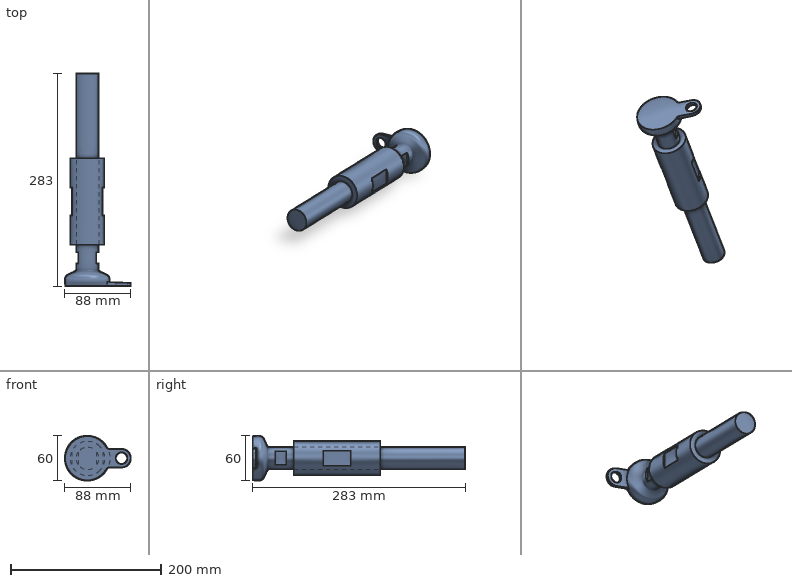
import cadquery as cq
import math

TOTAL_LENGTH = 283.0

STEM_RADIUS = 15.0
STEM_ACROSS_FLATS = 24.0
STEM_FLAT_START = 30.3
STEM_FLAT_LENGTH = 14.5

SLEEVE_RADIUS = 23.0
SLEEVE_START = 55.0
SLEEVE_LENGTH = 115.2
SLEEVE_ACROSS_FLATS = 41.0
SLEEVE_FLAT_LENGTH = 36.8
SLEEVE_FLAT_START = SLEEVE_START + (SLEEVE_LENGTH - SLEEVE_FLAT_LENGTH) / 2

FOOT_RADIUS = 30.0
FOOT_BOTTOM_RADIUS = 29.5
TAPER_HEIGHT = 6.0
SHOULDER_START = 8.5
SHOULDER_ARC_RADIUS = 7.5
NECK_FILLET_RADIUS = 2.0
CONE_ANGLE = math.radians(25)

LUG_HALF_WIDTH = 12.5
LUG_CENTER_X = 45.5
LUG_HOLE_DIAMETER = 15.0
LUG_ROOT_FILLET = 5.5
LUG_ROOT_THICKNESS = 5.5
LUG_TIP_THICKNESS = 4.2
LUG_TIP_X = LUG_CENTER_X + LUG_HALF_WIDTH


def cut_flats(body, across_flats, start, length, body_radius):
    """Cut a pair of wrench flats facing -X and +X."""
    body_diameter = 2 * body_radius
    for side in (-1, 1):
        center_x = side * (across_flats / 2 + body_radius)
        cutter = (
            cq.Workplane("XY")
            .box(body_diameter, length, body_diameter)
            .translate((center_x, start + length / 2, 0))
        )
        body = body.cut(cutter)
    return body


def arc_point(center, radius, angle):
    """Point on a circle at an angle from the first axis."""
    return (center[0] + radius * math.cos(angle), center[1] + radius * math.sin(angle))


def make_foot_and_stem():
    """Revolve the foot, its rounded shoulder and the stem as one profile."""
    shoulder_center = (FOOT_RADIUS - SHOULDER_ARC_RADIUS, SHOULDER_START)
    shoulder_sweep = math.pi / 2 - CONE_ANGLE
    shoulder_middle = arc_point(shoulder_center, SHOULDER_ARC_RADIUS, shoulder_sweep / 2)
    shoulder_end = arc_point(shoulder_center, SHOULDER_ARC_RADIUS, shoulder_sweep)

    fillet_start_radius = STEM_RADIUS + NECK_FILLET_RADIUS * (1 - math.sin(CONE_ANGLE))
    fillet_start_y = shoulder_end[1] + (shoulder_end[0] - fillet_start_radius) * math.tan(CONE_ANGLE)
    fillet_center = (
        STEM_RADIUS + NECK_FILLET_RADIUS,
        fillet_start_y + NECK_FILLET_RADIUS * math.cos(CONE_ANGLE),
    )
    fillet_middle = arc_point(fillet_center, NECK_FILLET_RADIUS, math.pi + shoulder_sweep / 2)

    body = (
        cq.Workplane("XY")
        .moveTo(0, 0)
        .lineTo(FOOT_BOTTOM_RADIUS, 0)
        .lineTo(FOOT_RADIUS, TAPER_HEIGHT)
        .lineTo(FOOT_RADIUS, SHOULDER_START)
        .threePointArc(shoulder_middle, shoulder_end)
        .lineTo(fillet_start_radius, fillet_start_y)
        .threePointArc(fillet_middle, (STEM_RADIUS, fillet_center[1]))
        .lineTo(STEM_RADIUS, TOTAL_LENGTH)
        .lineTo(0, TOTAL_LENGTH)
        .close()
        .revolve(360, (0, 0, 0), (0, 1, 0))
    )
    body = cut_flats(body, STEM_ACROSS_FLATS, STEM_FLAT_START, STEM_FLAT_LENGTH, STEM_RADIUS)
    return body.union(make_lug())


def make_lug():
    """Tapering lug with a rounded tip, a bolt hole and filleted roots."""
    fillet_z = LUG_HALF_WIDTH + LUG_ROOT_FILLET
    center_distance = FOOT_BOTTOM_RADIUS + LUG_ROOT_FILLET
    fillet_x = math.sqrt(center_distance**2 - fillet_z**2)
    foot_angle = math.atan2(fillet_z, fillet_x)
    root_x, root_z = arc_point((0, 0), FOOT_BOTTOM_RADIUS, foot_angle)
    middle_angle = (foot_angle - math.pi - math.pi / 2) / 2
    middle_x, middle_z = arc_point((fillet_x, fillet_z), LUG_ROOT_FILLET, middle_angle)

    plate = (
        cq.Workplane("XZ")
        .moveTo(0, -root_z)
        .lineTo(root_x, -root_z)
        .threePointArc((middle_x, -middle_z), (fillet_x, -LUG_HALF_WIDTH))
        .lineTo(LUG_CENTER_X, -LUG_HALF_WIDTH)
        .threePointArc((LUG_TIP_X, 0), (LUG_CENTER_X, LUG_HALF_WIDTH))
        .lineTo(fillet_x, LUG_HALF_WIDTH)
        .threePointArc((middle_x, middle_z), (root_x, root_z))
        .lineTo(0, root_z)
        .close()
        .extrude(-LUG_ROOT_THICKNESS)
    )
    hole = (
        cq.Workplane("XZ")
        .center(LUG_CENTER_X, 0)
        .circle(LUG_HOLE_DIAMETER / 2)
        .extrude(-LUG_ROOT_THICKNESS)
    )
    wedge = (
        cq.Workplane("XY")
        .moveTo(0, 0)
        .lineTo(LUG_TIP_X, 0)
        .lineTo(LUG_TIP_X, LUG_TIP_THICKNESS)
        .lineTo(FOOT_BOTTOM_RADIUS, LUG_ROOT_THICKNESS)
        .lineTo(0, LUG_ROOT_THICKNESS)
        .close()
        .extrude(root_z, both=True)
    )
    return plate.intersect(wedge).cut(hole)


def make_sleeve():
    """Plain sleeve fitting the stem, with one pair of wrench flats."""
    sleeve = (
        cq.Workplane("XZ", origin=(0, SLEEVE_START, 0))
        .circle(SLEEVE_RADIUS)
        .circle(STEM_RADIUS)
        .extrude(-SLEEVE_LENGTH)
    )
    return cut_flats(
        sleeve, SLEEVE_ACROSS_FLATS, SLEEVE_FLAT_START, SLEEVE_FLAT_LENGTH, SLEEVE_RADIUS
    )


foot_and_stem = make_foot_and_stem()
sleeve = make_sleeve()

result = cq.Compound.makeCompound([foot_and_stem.val(), sleeve.val()])